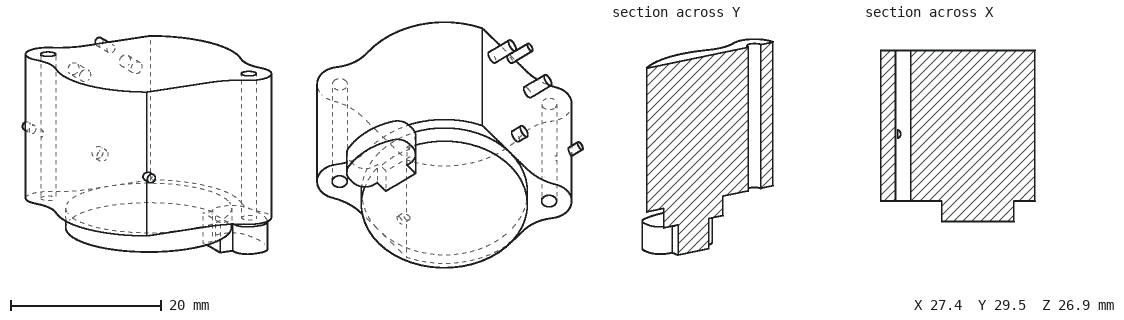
import cadquery as cq
import math

body_height = 20.0
barrel_radius = 12.5
flat_distance = 11.02
lug_center = 9.9
lug_radius = 3.0
lug_hole_diameter = 2.0
barrel_blend_radius = 6.0
flat_blend_radius = 8.0

plate_radius = 11.02
plate_thickness = 2.7

arm_width = 5.0
arm_inner_y = 9.4
head_gap = 0.38
head_thickness = 3.8
head_width = 10.0
head_inner_y = 11.25
head_outer_y = 16.55
head_end_radius = 10.02
head_corner_radius = 2.0

small_pin = 0.6
large_pin = 0.83
long_tip = -14.45
pins = [
    (long_tip, 0.0, 0.95, small_pin),
    (long_tip, 3.83, 4.13, large_pin),
    (long_tip, -3.83, 4.13, large_pin),
    (-12.47, -1.25, 15.6, large_pin),
    (long_tip, -10.82, 11.1, small_pin),
    (12.05, -5.75, 11.75, small_pin),
]
pin_root = 10.6

plate_bottom = -plate_thickness
head_top = plate_bottom - head_gap
head_bottom = head_top - head_thickness


def toward(start, end, distance):
    """Point at the given distance from start on the line to end."""
    ratio = distance / math.dist(start, end)
    return (start[0] + (end[0] - start[0]) * ratio, start[1] + (end[1] - start[1]) * ratio)


def arc_middle(center, radius, start, end):
    """Middle of the shorter arc between two points on a circle."""
    return toward(center, ((start[0] + end[0]) / 2, (start[1] + end[1]) / 2), radius)


def make_body():
    origin = (0.0, 0.0)
    lug = (lug_center, lug_center)

    flat_blend_x = flat_distance + flat_blend_radius
    center_rise = math.sqrt((flat_blend_radius + lug_radius) ** 2 - (flat_blend_x - lug_center) ** 2)
    flat_blend = (flat_blend_x, lug_center - center_rise)
    flat_end = (flat_distance, flat_blend[1])
    lug_start = toward(lug, flat_blend, lug_radius)

    lug_distance = math.hypot(*lug)
    to_barrel = barrel_radius + barrel_blend_radius
    to_lug = lug_radius + barrel_blend_radius
    along = (to_barrel**2 + lug_distance**2 - to_lug**2) / (2 * lug_distance)
    across = math.sqrt(to_barrel**2 - along**2)
    diagonal = math.sqrt(2)
    barrel_blend = ((along - across) / diagonal, (along + across) / diagonal)
    lug_end = toward(lug, barrel_blend, lug_radius)
    barrel_start = toward(origin, barrel_blend, barrel_radius)

    barrel_end = (-flat_distance, math.sqrt(barrel_radius**2 - flat_distance**2))
    lug_tip = toward(lug, (2 * lug_center, 2 * lug_center), lug_radius)
    arcs = [
        (arc_middle(flat_blend, flat_blend_radius, flat_end, lug_start), lug_start),
        (lug_tip, lug_end),
        (arc_middle(barrel_blend, barrel_blend_radius, lug_end, barrel_start), barrel_start),
        (arc_middle(origin, barrel_radius, barrel_start, barrel_end), barrel_end),
    ]

    outline = cq.Workplane("XY").moveTo(-barrel_end[0], -barrel_end[1])
    for turn in (1, -1):
        outline = outline.lineTo(turn * flat_end[0], turn * flat_end[1])
        for middle, end in arcs:
            outline = outline.threePointArc(
                (turn * middle[0], turn * middle[1]), (turn * end[0], turn * end[1])
            )
    holes = (
        cq.Workplane("XY")
        .pushPoints([lug, (-lug_center, -lug_center)])
        .circle(lug_hole_diameter / 2)
        .extrude(body_height)
    )
    return outline.close().extrude(body_height).cut(holes)


def make_plate():
    return cq.Workplane("XY").circle(plate_radius).extrude(plate_bottom)


def make_arm():
    arm_length = head_inner_y - arm_inner_y
    neck = (
        cq.Workplane("XY", origin=(0, arm_inner_y + arm_length / 2, head_bottom))
        .rect(arm_width, arm_length)
        .extrude(plate_bottom - head_bottom)
    )
    rim = cq.Workplane("XY", origin=(0, 0, head_top)).circle(plate_radius).extrude(head_gap)
    lower_space = (
        cq.Workplane("XY", origin=(0, head_inner_y, head_bottom))
        .rect(head_width, 2 * arm_length)
        .extrude(head_thickness)
    )
    return neck.intersect(rim.union(lower_space))


def make_head():
    half_width = head_width / 2
    end_drop = head_end_radius - math.sqrt(head_end_radius**2 - half_width**2)
    shoulder_y = head_outer_y - end_drop
    return (
        cq.Workplane("XY", origin=(0, 0, head_bottom))
        .moveTo(-half_width, head_inner_y)
        .lineTo(half_width, head_inner_y)
        .lineTo(half_width, shoulder_y)
        .threePointArc((0, head_outer_y), (-half_width, shoulder_y))
        .close()
        .extrude(head_thickness)
        .edges("|Z")
        .fillet(head_corner_radius)
    )


def make_pin(tip_x, y, depth, radius):
    root_x = math.copysign(pin_root, tip_x)
    return (
        cq.Workplane("YZ", origin=(root_x, y, body_height - depth))
        .circle(radius)
        .extrude(tip_x - root_x)
    )


result = make_body().union(make_plate()).union(make_arm()).union(make_head())
for pin in pins:
    result = result.union(make_pin(*pin))